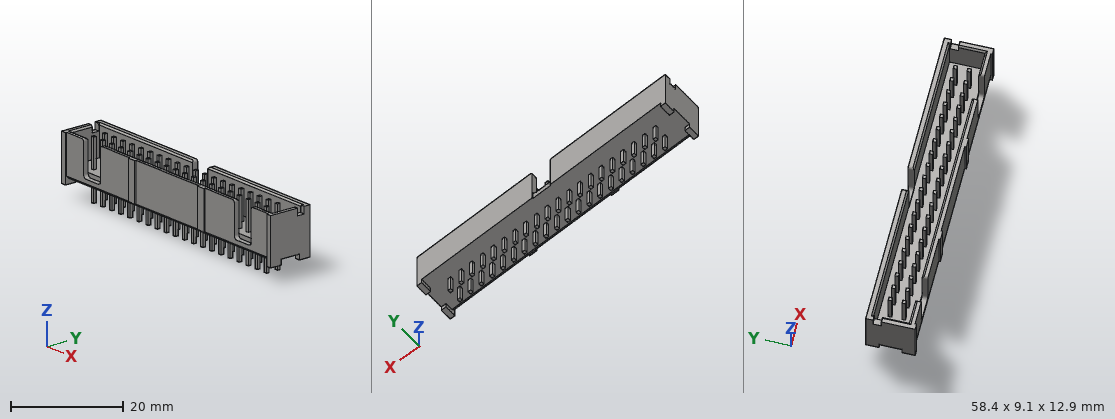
import cadquery as cq
length = 58.4
width = 9.1
total_height = 12.9

foot_height = 9.95
underside_depth = 8.8
floor_depth = 6.55
base_bevel = 0.5

rib_projection = 0.3
end_wall = 1.1
side_wall = 1.05
back_wall = 1.2
rim_chamfer = 0.35

mid_rib_width = 1.75
mid_rib_offset = 9.65
foot_width = 2.45

opening_depth = 7.4
opening_corner_radius = 0.7
opening_rim_radius = 0.5
latch_opening_width = 4.7
latch_opening_offset = 21.05
key_notch_width = 4.2
key_recess = 0.2

end_slot_setback = 1.35
end_slot_width = 1.5
end_slot_depth = 1.45

pins_per_row = 20
pin_row_span = 48.25
pin_pitch = pin_row_span / (pins_per_row - 1)
pin_size = 0.65
pin_top_depth = 0.35

front_rib_face = -width / 2
front_face = front_rib_face + rib_projection
back_face = width / 2
cavity_front = front_face + side_wall
cavity_back = back_face - back_wall
end_slot_back = back_face - end_slot_setback


def block(x_range, y_range, z_range):
    """Axis-aligned box given by its limits along each axis."""
    sizes = [high - low for low, high in (x_range, y_range, z_range)]
    return (
        cq.Workplane("XY")
        .box(*sizes, centered=False)
        .translate((x_range[0], y_range[0], z_range[0]))
    )


def make_body():
    """Plain base block, bevelled along the lower front edge."""
    body = block(
        (-length / 2, length / 2), (front_face, back_face), (-underside_depth, 0)
    )
    return body.faces("<Y").edges("<Z").chamfer(base_bevel)


def make_ribs():
    """Raised bands on the front face; the end ones are added with the feet."""
    ribs = cq.Workplane("XY")
    for x in (-mid_rib_offset, mid_rib_offset):
        ribs = ribs.add(
            block(
                (x - mid_rib_width / 2, x + mid_rib_width / 2),
                (front_rib_face, cavity_front),
                (base_bevel - underside_depth, 0),
            )
        )
    return ribs.combine()


def make_end_plate(x_start):
    """Full-width end plate that stands on a front and a back foot."""
    x_range = (x_start, x_start + end_wall)
    plate = block(x_range, (front_rib_face, back_face), (-foot_height, 0))
    foot_gap = block(
        x_range,
        (front_rib_face + foot_width, back_face - foot_width),
        (-foot_height, -underside_depth),
    )
    return plate.cut(foot_gap)


def make_cavity():
    """Mating cavity that widens with a chamfer at the rim."""
    cavity_half_length = length / 2 - end_wall
    cavity = block(
        (-cavity_half_length, cavity_half_length),
        (cavity_front, cavity_back),
        (-floor_depth, rim_chamfer),
    )
    flare = (
        cq.Workplane("XY")
        .center(0, (cavity_front + cavity_back) / 2)
        .rect(
            2 * (cavity_half_length + rim_chamfer),
            cavity_back - cavity_front + 2 * rim_chamfer,
        )
        .extrude(-2 * rim_chamfer, taper=45)
    )
    return cavity.union(flare)


def make_opening(x_center, opening_width, y_range):
    """Wall opening with rounded lower corners and rounded-over rim corners."""
    half = opening_width / 2
    corner = opening_corner_radius
    rim = opening_rim_radius
    y_start, y_end = y_range
    opening = (
        cq.Workplane("XZ", origin=(x_center, y_end, 0))
        .moveTo(-half - rim, 0)
        .radiusArc((-half, -rim), rim)
        .lineTo(-half, corner - opening_depth)
        .radiusArc((corner - half, -opening_depth), -corner)
        .lineTo(half - corner, -opening_depth)
        .radiusArc((half, corner - opening_depth), -corner)
        .lineTo(half, -rim)
        .radiusArc((half + rim, 0), rim)
        .close()
        .extrude(y_end - y_start)
    )
    return opening


def make_key_recess():
    """Shallow relief in the back face below the key notch."""
    return block(
        (-key_notch_width / 2, key_notch_width / 2),
        (back_face - key_recess, back_face),
        (-underside_depth, 0),
    )


def make_end_slots():
    """Open-topped groove that crosses both end walls."""
    return block(
        (-length / 2, length / 2),
        (end_slot_back - end_slot_width, end_slot_back),
        (-end_slot_depth, 0),
    )


def make_pins():
    """Two rows of straight square pins through the floor."""
    pins = cq.Workplane("XY", origin=(0, 0, -total_height))
    return (
        pins.rarray(pin_pitch, pin_pitch, pins_per_row, 2)
        .rect(pin_size, pin_size)
        .extrude(total_height - pin_top_depth)
    )


shroud = make_body().union(make_ribs())
for x_start in (-length / 2, length / 2 - end_wall):
    shroud = shroud.union(make_end_plate(x_start))

shroud = shroud.cut(make_cavity())
for x in (-latch_opening_offset, latch_opening_offset):
    shroud = shroud.cut(
        make_opening(x, latch_opening_width, (front_rib_face, cavity_front))
    )
shroud = shroud.cut(make_opening(0, key_notch_width, (cavity_back, back_face)))
shroud = shroud.cut(make_key_recess())
shroud = shroud.cut(make_end_slots())

result = shroud.union(make_pins())